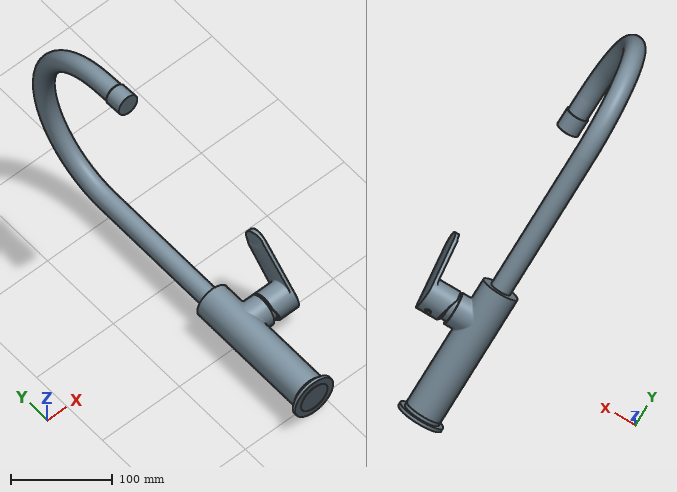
import cadquery as cq
import math

OVERALL_WIDTH = 87.5
OVERALL_LENGTH = 421.5

FLANGE_RADIUS = 49.7 / 2
FLANGE_THICKNESS = 4.0
FOOT_DISC_RADIUS = 34.5 / 2
FOOT_DISC_PROTRUSION = 0.5
COLUMN_RADIUS = 39.5 / 2
COLUMN_TOP = 154.2
BASE_RING_STEP = 0.1
BASE_RING_RADIUS = COLUMN_RADIUS - BASE_RING_STEP
BASE_RING_TOP = 7.5

TUBE_RADIUS = 22.0 / 2
BEND_RADIUS = 97.0
BEND_ANGLE = 175.0
BEND_START = OVERALL_LENGTH - FOOT_DISC_PROTRUSION - TUBE_RADIUS - BEND_RADIUS
NOZZLE_LENGTH = 20.2
AERATOR_RADIUS = 24.0 / 2
AERATOR_LENGTH = 19.5

HANDLE_Y = 113.5
STUB_RADIUS = 36.0 / 2
STUB_END = 30.0
STUB_FILLET = 1.5
NECK_RADIUS = 29.5 / 2
COLLAR_RADIUS = 31.5 / 2
COLLAR_START = 36.2
COLLAR_END = 42.0

HUB_RADIUS = STUB_RADIUS
HUB_START = 32.5
HUB_SLANT_DEPTH = 6.7
SCREW_RADIUS = 3.5
SCREW_DEPTH = 2.5
SCREW_X = 51.5

LEVER_ANGLE = 45.0
LEVER_LENGTH = 58.5
LEVER_BASE_INSET = 0.2
LEVER_BASE_RADIUS = HUB_RADIUS - LEVER_BASE_INSET
LEVER_TIP_RADIUS = 32.5 / 2
LEVER_END = LEVER_LENGTH + LEVER_TIP_RADIUS
LEVER_THICKNESS = 6.5
LEVER_OUTER = OVERALL_WIDTH - FLANGE_RADIUS
LEVER_INNER = LEVER_OUTER - LEVER_THICKNESS
LEVER_CROWN = 1.3
LEVER_ROOT_FILLET = 1.3
TIP_RECESS_START = LEVER_LENGTH - 4.0
TIP_RECESS_DEPTH = 1.0
TIP_RAMP_SLOPE = 0.2


def cylinder_y(radius, start, end):
    """Cylinder about the Y axis."""
    return cq.Workplane("XZ", origin=(0, start, 0)).circle(radius).extrude(start - end)


def cylinder_x(radius, start, end):
    """Cylinder about the X axis."""
    return cq.Workplane("YZ", origin=(start, 0, 0)).circle(radius).extrude(end - start)


def make_column():
    """Barrel with its side stub, handle mount, base ring, flange and foot disc."""
    barrel = cylinder_y(COLUMN_RADIUS, BASE_RING_TOP, COLUMN_TOP)
    stub = cylinder_x(STUB_RADIUS, 0, STUB_END).translate((0, HANDLE_Y, 0))
    stub_joint = cq.selectors.BoxSelector(
        (0, HANDLE_Y - COLUMN_RADIUS, -COLUMN_RADIUS),
        (COLUMN_RADIUS, HANDLE_Y + COLUMN_RADIUS, COLUMN_RADIUS),
    )
    column = barrel.union(stub).edges(stub_joint).fillet(STUB_FILLET)

    neck = cylinder_x(NECK_RADIUS, STUB_END, COLLAR_START)
    collar = cylinder_x(COLLAR_RADIUS, COLLAR_START, COLLAR_END)
    handle_mount = neck.union(collar).translate((0, HANDLE_Y, 0))
    base_ring = cylinder_y(BASE_RING_RADIUS, 0, BASE_RING_TOP)
    flange = cylinder_y(FLANGE_RADIUS, 0, FLANGE_THICKNESS)
    foot_disc = cylinder_y(FOOT_DISC_RADIUS, -FOOT_DISC_PROTRUSION, 0)
    return column.union(handle_mount).union(base_ring).union(flange).union(foot_disc)


def make_spout():
    """Tube from the column top, bent back over the column, ending in the aerator."""
    tube = cylinder_y(TUBE_RADIUS, COLUMN_TOP, BEND_START)
    bend = (
        cq.Workplane("XZ", origin=(0, BEND_START, 0))
        .circle(TUBE_RADIUS)
        .revolve(BEND_ANGLE, (-4.2, BEND_RADIUS, 0), (4.2, BEND_RADIUS, 0))
    )
    turn = math.radians(BEND_ANGLE)
    bend_end = cq.Vector(
        0,
        BEND_START + BEND_RADIUS * math.sin(turn),
        BEND_RADIUS * (1 - math.cos(turn)),
    )
    outlet = cq.Vector(0, math.cos(turn), math.sin(turn))
    nozzle_end = bend_end + outlet * NOZZLE_LENGTH
    nozzle = cq.Solid.makeCylinder(TUBE_RADIUS, NOZZLE_LENGTH, bend_end, outlet)
    aerator = cq.Solid.makeCylinder(AERATOR_RADIUS, AERATOR_LENGTH, nozzle_end, outlet)
    return tube.union(bend).union(cq.Workplane(nozzle)).union(cq.Workplane(aerator))


def crowned_bar(inner, outer):
    """Bar along Y, as wide as the hub, whose two X faces bulge to inner and outer at mid width."""
    return (
        cq.Workplane("XZ", origin=(0, -HUB_RADIUS, 0))
        .moveTo(inner + LEVER_CROWN, -HUB_RADIUS)
        .threePointArc((inner, 0), (inner + LEVER_CROWN, HUB_RADIUS))
        .lineTo(outer - LEVER_CROWN, HUB_RADIUS)
        .threePointArc((outer, 0), (outer - LEVER_CROWN, -HUB_RADIUS))
        .close()
        .extrude(-(HUB_RADIUS + LEVER_END))
    )


def make_lever_outline():
    """Prism along X: a base circle just inside the hub and a tip circle, joined by tangents."""
    slope = (LEVER_BASE_RADIUS - LEVER_TIP_RADIUS) / LEVER_LENGTH
    side = math.sqrt(1 - slope**2)
    base_y = LEVER_BASE_RADIUS * slope
    base_z = LEVER_BASE_RADIUS * side
    tip_y = LEVER_LENGTH + LEVER_TIP_RADIUS * slope
    tip_z = LEVER_TIP_RADIUS * side
    return (
        cq.Workplane("YZ")
        .moveTo(base_y, base_z)
        .lineTo(tip_y, tip_z)
        .threePointArc((LEVER_END, 0), (tip_y, -tip_z))
        .lineTo(base_y, -base_z)
        .threePointArc((-LEVER_BASE_RADIUS, 0), (base_y, base_z))
        .close()
        .extrude(LEVER_OUTER)
    )


def make_tip_recess():
    """Cutter that ramps down the inner face and then follows its crown to the tip."""
    ramp_rise = TIP_RAMP_SLOPE * (LEVER_END - TIP_RECESS_START)
    wedge = (
        cq.Workplane("XY")
        .moveTo(LEVER_INNER, TIP_RECESS_START)
        .lineTo(LEVER_INNER + ramp_rise, LEVER_END)
        .lineTo(LEVER_INNER, LEVER_END)
        .close()
        .extrude(HUB_RADIUS, both=True)
    )
    return wedge.cut(crowned_bar(LEVER_INNER + TIP_RECESS_DEPTH, LEVER_OUTER))


def make_hub_slant():
    """Cutter for the half of the hub's inner end that faces away from the lever."""
    return (
        cq.Workplane("XY")
        .moveTo(HUB_START, 0)
        .lineTo(HUB_START + HUB_SLANT_DEPTH, -HUB_RADIUS)
        .lineTo(HUB_START, -HUB_RADIUS)
        .close()
        .extrude(HUB_RADIUS, both=True)
    )


def make_handle():
    """Hub and lever, built with the lever along +Y and then tilted about the hub's axis."""
    hub = cylinder_x(HUB_RADIUS, HUB_START, LEVER_OUTER).intersect(crowned_bar(0, LEVER_OUTER))
    lever = make_lever_outline().intersect(crowned_bar(LEVER_INNER, LEVER_OUTER))
    handle = hub.union(lever)

    lever_root = cq.selectors.BoxSelector(
        (LEVER_INNER, HUB_RADIUS / 2, -HUB_RADIUS),
        (LEVER_INNER + LEVER_CROWN, HUB_RADIUS, HUB_RADIUS),
    )
    handle = handle.edges(lever_root).fillet(LEVER_ROOT_FILLET)

    collar_socket = cylinder_x(COLLAR_RADIUS, HUB_START, COLLAR_END)
    screw_hole = cylinder_y(SCREW_RADIUS, -HUB_RADIUS, SCREW_DEPTH - HUB_RADIUS)
    handle = handle.cut(make_tip_recess()).cut(make_hub_slant()).cut(collar_socket)
    handle = handle.cut(screw_hole.translate((SCREW_X, 0, 0)))
    return handle.rotate((0, 0, 0), (1, 0, 0), LEVER_ANGLE).translate((0, HANDLE_Y, 0))


faucet = make_column().union(make_spout())
handle = make_handle()

result = cq.Compound.makeCompound([faucet.val(), handle.val()])